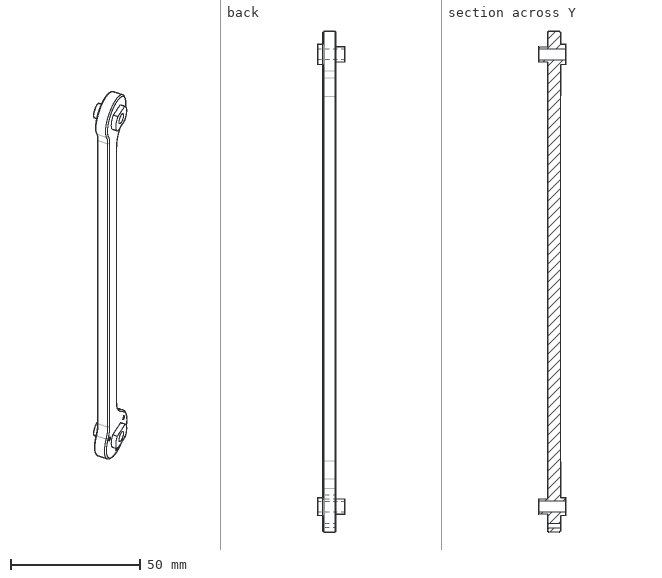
import cadquery as cq
import math

length = 194.0
plate_thickness = 5.0
boss_side_chamfer = 0.5
pin_side_chamfer = 0.4
top_radius = 9.02
bottom_radius = 10.0
top_z = length / 2 - top_radius
bottom_z = -length / 2 + bottom_radius

bar_front_y = -7.0
bar_back_y = 0.5
front_fillet = 10.0
back_fillet = 10.0
flank_angle = math.radians(45)

pin_diameter = 6.0
pin_length = 3.5
bore_diameter = 4.0
boss_height = 2.0
boss_diameter = 10.0
top_boss_across_flats = 8.0
bottom_boss_across_flats = 7.0

small_hole_diameter = 1.5
small_hole_circle_radius = 7.4
small_hole_angles = (30, 150, 270)


def head_neck(head_radius, center_z, toward_bar):
    """Blend from a round head into the bar; toward_bar is +1 if the bar is above the head."""
    front_center_y = bar_front_y - front_fillet
    centers_distance = head_radius + front_fillet
    front_center_z = math.sqrt(centers_distance**2 - front_center_y**2)
    touch_ratio = head_radius / centers_distance
    front_touch = (front_center_y * touch_ratio, front_center_z * touch_ratio)
    half_angle = math.atan2(front_center_z, -front_center_y) / 2
    front_middle = (
        front_center_y + front_fillet * math.cos(half_angle),
        front_center_z - front_fillet * math.sin(half_angle),
    )

    back_touch = (head_radius * math.cos(flank_angle), head_radius * math.sin(flank_angle))
    back_center_y = bar_back_y + back_fillet
    back_center_z = (
        head_radius + back_fillet - back_center_y * math.cos(flank_angle)
    ) / math.sin(flank_angle)
    arc_start = (
        back_center_y - back_fillet * math.cos(flank_angle),
        back_center_z - back_fillet * math.sin(flank_angle),
    )
    arc_middle = (
        back_center_y - back_fillet * math.cos(flank_angle / 2),
        back_center_z - back_fillet * math.sin(flank_angle / 2),
    )

    def place(point):
        return (point[0], center_z + toward_bar * point[1])

    return {
        "front_end": place((bar_front_y, front_center_z)),
        "front_middle": place(front_middle),
        "front_touch": place(front_touch),
        "head_tip": place((0, -head_radius)),
        "back_touch": place(back_touch),
        "arc_start": place(arc_start),
        "arc_middle": place(arc_middle),
        "back_end": place((bar_back_y, back_center_z)),
    }


def make_plate():
    bottom = head_neck(bottom_radius, bottom_z, 1)
    top = head_neck(top_radius, top_z, -1)
    outline = (
        cq.Workplane("YZ")
        .moveTo(*bottom["front_end"])
        .threePointArc(bottom["front_middle"], bottom["front_touch"])
        .threePointArc(bottom["head_tip"], bottom["back_touch"])
        .lineTo(*bottom["arc_start"])
        .threePointArc(bottom["arc_middle"], bottom["back_end"])
        .lineTo(*top["back_end"])
        .threePointArc(top["arc_middle"], top["arc_start"])
        .lineTo(*top["back_touch"])
        .threePointArc(top["head_tip"], top["front_touch"])
        .threePointArc(top["front_middle"], top["front_end"])
        .close()
    )
    plate = outline.extrude(plate_thickness)
    plate = plate.faces(">X").edges().chamfer(boss_side_chamfer)
    return plate.faces("<X").edges().chamfer(pin_side_chamfer)


def make_cylinder(start_x, center_z, diameter, height):
    """Cylinder along +X, centred on Y = 0."""
    return (
        cq.Workplane("YZ", origin=(start_x, 0, center_z))
        .circle(diameter / 2)
        .extrude(height)
    )


def make_boss(center_z, across_flats):
    """Round boss with two flats, one facing up and one facing down."""
    flats = (
        cq.Workplane("YZ", origin=(plate_thickness, 0, center_z))
        .rect(boss_diameter, across_flats)
        .extrude(boss_height)
    )
    return make_cylinder(plate_thickness, center_z, boss_diameter, boss_height).intersect(flats)


def add_pivot(body, center_z, boss):
    """Pin, boss and through bore on one head."""
    pin = make_cylinder(-pin_length, center_z, pin_diameter, pin_length)
    bore_length = pin_length + plate_thickness + boss_height
    bore = make_cylinder(-pin_length, center_z, bore_diameter, bore_length)
    return body.union(pin).union(boss).cut(bore)


def cut_small_holes(body):
    centers = [
        (
            small_hole_circle_radius * math.cos(math.radians(angle)),
            small_hole_circle_radius * math.sin(math.radians(angle)),
        )
        for angle in small_hole_angles
    ]
    holes = (
        cq.Workplane("YZ", origin=(0, 0, bottom_z))
        .pushPoints(centers)
        .circle(small_hole_diameter / 2)
        .extrude(plate_thickness)
    )
    return body.cut(holes)


result = make_plate()
result = add_pivot(result, bottom_z, make_boss(bottom_z, bottom_boss_across_flats))
result = add_pivot(result, top_z, make_boss(top_z, top_boss_across_flats))
result = cut_small_holes(result)